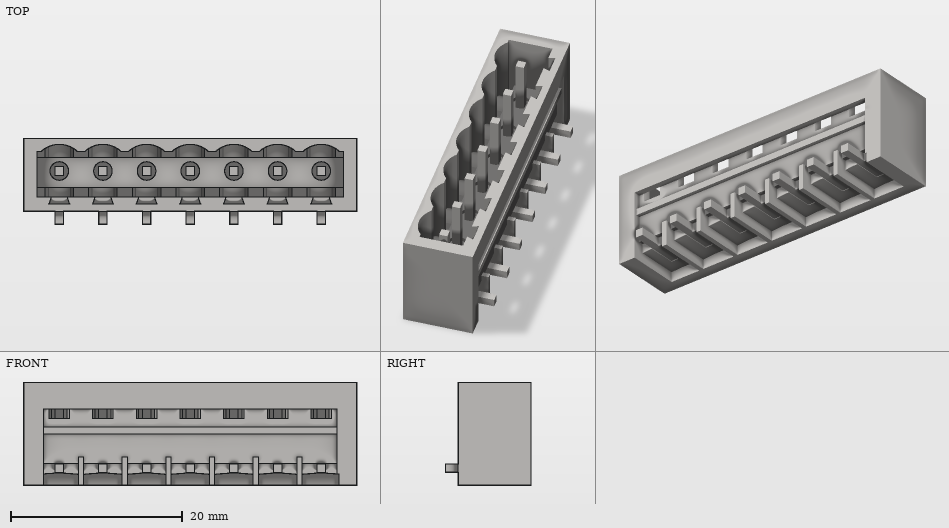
import cadquery as cq
import math

pole_count = 7
pitch = 5.08
pole_xs = [(i - (pole_count - 1) / 2) * pitch for i in range(pole_count)]
rib_xs = [x + pitch / 2 for x in pole_xs[:-1]]
pole_y = 4.7

housing_length = 38.76
housing_depth = 8.5
housing_height = 12.0

end_wall = 1.55
cavity_front = 1.65
cavity_back = 6.95
cavity_length = housing_length - 2 * end_wall
trench_floor = 3.6
scallop_radius = 3.1

bar_front = 2.8
bar_back = 6.3
bar_top = 5.0
recess_radius = 1.08
recess_depth = 0.5

hump_radius = 1.75
hump_arc_half = 1.28
hump_side_angle = math.radians(57)
hump_half_width = 1.66

keyway_bottom = 7.8
keyway_depth = 0.8
keyway_mouth_half = 0.92
keyway_root_half = 1.2

post_width = 2.28
window_depth = 0.88
window_top = 8.86
window_half = housing_length / 2 - post_width
wall_bottom = 2.55

ledge_bottom = 5.95
ledge_height = 0.82
ledge_projection = 0.55

rib_width = 0.6
rib_height = 3.3

pin_bay_back = 1.5
hollow_back = cavity_back
arch_crown = 1.43
arch_radius = 17.0
post_relief = 0.23

pin_size = 1.0
pin_tip = 11.0
leg_bottom = 1.5
leg_top = leg_bottom + pin_size
leg_projection = 1.5


def block(x_range, y_range, z_range):
    """Box between the given limits on each axis."""
    size = [high - low for low, high in (x_range, y_range, z_range)]
    corner = (x_range[0], y_range[0], z_range[0])
    return cq.Workplane("XY").box(*size, centered=False).translate(corner)


def extrude_along_y(profile, y_start, y_end):
    """Extrude an XZ profile from y_start to y_end."""
    return profile.extrude(-(y_end - y_start)).translate((0, y_start, 0))


def make_cavity():
    half = cavity_length / 2
    cavity_height = housing_height - trench_floor
    cavity = block((-half, half), (cavity_front, cavity_back), (trench_floor, housing_height))
    back_zone = block((-half, half), (pole_y, housing_depth), (trench_floor, housing_height))
    for x in pole_xs:
        scallop = (
            cq.Workplane("XY", origin=(x, pole_y, trench_floor))
            .circle(scallop_radius)
            .extrude(cavity_height)
        )
        cavity = cavity.union(scallop.intersect(back_zone))
    return cavity


def make_hump(x):
    """Arched hump with steeper straight sides."""
    arc_rise = hump_radius - math.sqrt(hump_radius**2 - hump_arc_half**2)
    side_rise = (hump_half_width - hump_arc_half) * math.tan(hump_side_angle)
    shoulder_z = trench_floor + side_rise
    profile = (
        cq.Workplane("XZ")
        .moveTo(x - hump_half_width, trench_floor)
        .lineTo(x - hump_arc_half, shoulder_z)
        .threePointArc((x, shoulder_z + arc_rise), (x + hump_arc_half, shoulder_z))
        .lineTo(x + hump_half_width, trench_floor)
        .close()
    )
    scallop_back = pole_y + scallop_radius
    return extrude_along_y(profile, cavity_front, scallop_back)


def make_keyway(x):
    root_y = cavity_front - keyway_depth
    return (
        cq.Workplane("XY", origin=(0, 0, keyway_bottom))
        .moveTo(x - keyway_mouth_half, cavity_front)
        .lineTo(x - keyway_root_half, root_y)
        .lineTo(x + keyway_root_half, root_y)
        .lineTo(x + keyway_mouth_half, cavity_front)
        .close()
        .extrude(housing_height - keyway_bottom)
    )


def make_window():
    """Front recess, deeper below the wall where the pin legs come out."""
    across = (-window_half, window_half)
    window = block(across, (0, window_depth), (0, window_top))
    return window.union(block(across, (0, pin_bay_back), (0, wall_bottom)))


def make_hollow():
    """Space under the housing; its right end runs slightly into the post."""
    left = -window_half
    right = window_half + post_relief

    def roof_z(offset):
        return arch_crown - arch_radius + math.sqrt(arch_radius**2 - offset**2)

    profile = cq.Workplane("XZ").moveTo(left, 0).lineTo(left, roof_z(left - pole_xs[0]))
    for x, arch_end in zip(pole_xs, rib_xs + [right]):
        profile = profile.threePointArc((x, arch_crown), (arch_end, roof_z(arch_end - x)))
    return extrude_along_y(profile.lineTo(right, 0).close(), 0, hollow_back)


def make_rib(x):
    return block((x - rib_width / 2, x + rib_width / 2), (0, hollow_back), (0, rib_height))


def make_pin_passage(x):
    """Square hole for the upright, and a slot for the leg open to the hollow."""
    half = pin_size / 2
    across = (x - half, x + half)
    upright = block(across, (pole_y - half, pole_y + half), (0, bar_top))
    leg = block(across, (0, pole_y + half), (0, leg_top))
    recess = (
        cq.Workplane("XY", origin=(x, pole_y, bar_top - recess_depth))
        .circle(recess_radius)
        .extrude(recess_depth)
    )
    return upright.union(leg).union(recess)


def make_housing():
    half = housing_length / 2
    cavity_half = cavity_length / 2
    housing = block((-half, half), (0, housing_depth), (0, housing_height))
    housing = housing.cut(make_cavity())
    for x in pole_xs:
        housing = housing.union(make_hump(x))
    housing = housing.union(
        block((-cavity_half, cavity_half), (bar_front, bar_back), (trench_floor, bar_top))
    )
    housing = housing.cut(make_window()).cut(make_hollow())
    housing = housing.union(
        block(
            (-window_half, window_half),
            (window_depth - ledge_projection, window_depth),
            (ledge_bottom, ledge_bottom + ledge_height),
        )
    )
    for x in rib_xs:
        housing = housing.union(make_rib(x))
    for x in pole_xs:
        housing = housing.cut(make_keyway(x)).cut(make_pin_passage(x))
    return housing


def make_pin(x):
    half = pin_size / 2
    across = (x - half, x + half)
    upright = block(across, (pole_y - half, pole_y + half), (leg_bottom, pin_tip))
    leg = block(across, (-leg_projection, pole_y + half), (leg_bottom, leg_top))
    return upright.union(leg)


housing = make_housing()
pins = [make_pin(x) for x in pole_xs]

result = cq.Compound.makeCompound([*housing.solids().vals(), *[pin.val() for pin in pins]])